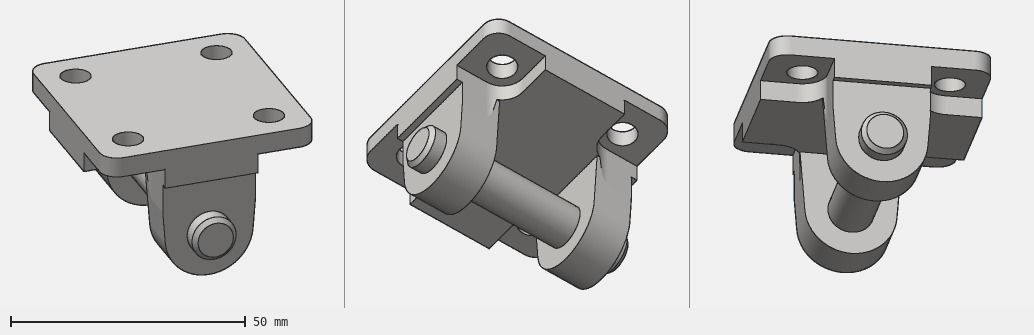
import cadquery as cq
import math

plate_side = 48.0
plate_thickness = 4.5
plate_corner_radius = 4.0
hole_spacing = 32.0
hole_diameter = 6.6

pad_thickness = 4.45
relief_radius = 5.45

overall_height = 32.0
lug_inset = 1.5
lug_thickness = 9.55
lug_base_width = 22.1
lug_end_radius = 10.0

pin_length = 53.0
pin_diameter = 10.0
pin_chamfer = 1.0

pad_bottom = -(plate_thickness + pad_thickness)
pin_z = lug_end_radius - overall_height
lug_outer_x = plate_side / 2 - lug_inset
hole_offset = hole_spacing / 2


def make_plate():
    """Rounded square plate."""
    plate = cq.Workplane("XY").rect(plate_side, plate_side).extrude(-plate_thickness)
    return plate.edges("|Z").fillet(plate_corner_radius)


def make_pad():
    """Square pad before the corner reliefs are removed."""
    pad = cq.Workplane("XY", origin=(0, 0, -plate_thickness))
    return pad.rect(plate_side, plate_side).extrude(-pad_thickness)


def make_lug(start_x):
    """Lug with sides running from the pad tangentially into a round end about the pin axis."""
    base_half = lug_base_width / 2
    base_height = pad_bottom - pin_z
    tangent_angle = math.atan2(base_height, base_half) - math.acos(
        lug_end_radius / math.hypot(base_half, base_height)
    )
    tangent_y = lug_end_radius * math.cos(tangent_angle)
    tangent_z = pin_z + lug_end_radius * math.sin(tangent_angle)
    return (
        cq.Workplane("YZ", origin=(start_x, 0, 0))
        .moveTo(-base_half, pad_bottom)
        .lineTo(-tangent_y, tangent_z)
        .threePointArc((0, -overall_height), (tangent_y, tangent_z))
        .lineTo(base_half, pad_bottom)
        .close()
        .extrude(lug_thickness)
    )


def make_corner_relief(side_x, side_y):
    """Cutter below the plate whose inner corner is rounded about the hole axis."""
    inner_edge = hole_offset - relief_radius
    size = plate_side / 2 - inner_edge
    center = inner_edge + size / 2
    relief = (
        cq.Workplane("XY", origin=(0, 0, -plate_thickness))
        .center(side_x * center, side_y * center)
        .rect(size, size)
        .extrude(plate_thickness - overall_height)
    )
    inner_corner = cq.selectors.NearestToPointSelector(
        (side_x * inner_edge, side_y * inner_edge, -overall_height / 2)
    )
    return relief.edges("|Z").edges(inner_corner).fillet(relief_radius)


def make_pin():
    """Round pin, chamfered at both ends."""
    pin = cq.Workplane("YZ", origin=(-pin_length / 2, 0, pin_z))
    return pin.circle(pin_diameter / 2).extrude(pin_length).faces("<X or >X").chamfer(pin_chamfer)


body = make_plate().union(make_pad())
for lug_start in (-lug_outer_x, lug_outer_x - lug_thickness):
    body = body.union(make_lug(lug_start))

for side_x in (-1, 1):
    for side_y in (-1, 1):
        body = body.cut(make_corner_relief(side_x, side_y))

holes = (
    cq.Workplane("XY")
    .rect(hole_spacing, hole_spacing, forConstruction=True)
    .vertices()
    .circle(hole_diameter / 2)
    .extrude(-plate_thickness)
)

result = body.cut(holes).union(make_pin())